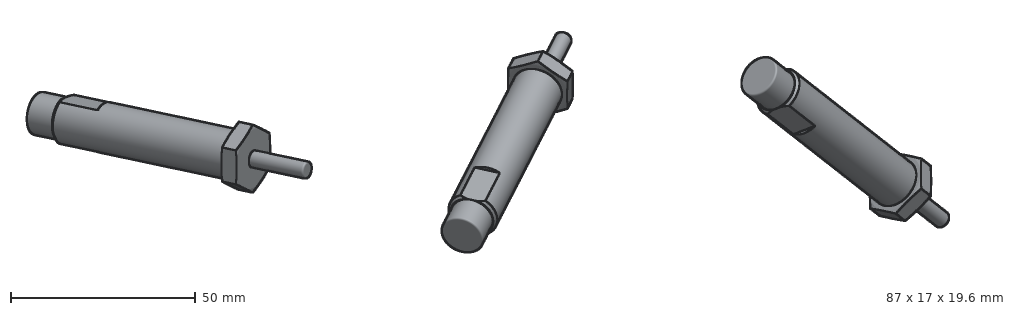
import cadquery as cq
import math

total_length = 87.0
body_start = 8.4
flats_end = 21.5
hex_start = 64.55
hex_thickness = 5.0
hex_end = hex_start + hex_thickness

tip_diameter = 12.0
body_diameter = 14.0
pin_diameter = 4.8
hex_across_flats = 17.0
hex_across_corners = hex_across_flats / math.cos(math.pi / 6)
flats_width = tip_diameter

tip_fillet = 0.5
body_chamfer = 0.9
pin_fillet = 0.5
hex_face_diameter = 16.9
hex_chamfer_depth = 0.3


def rod(start, end, diameter):
    """Cylinder along X between two stations."""
    return cq.Workplane("YZ").workplane(offset=start).circle(diameter / 2).extrude(end - start)


def flatted_body():
    """Main barrel with a chamfered front edge and two opposite wrench flats."""
    barrel = rod(body_start, hex_start, body_diameter).faces("<X").chamfer(body_chamfer)
    flat_length = flats_end - body_start
    flat_depth = (body_diameter - flats_width) / 2
    for side in (-1, 1):
        cutter = cq.Workplane("XY").box(flat_length, body_diameter, flat_depth).translate(
            (body_start + flat_length / 2, 0, side * (flats_width + flat_depth) / 2)
        )
        barrel = barrel.cut(cutter)
    return barrel


def hex_head():
    """Hexagon with corners on the Z axis, its corners bevelled on both faces."""
    hexagon = (
        cq.Workplane("YZ")
        .workplane(offset=hex_start)
        .transformed(rotate=(0, 0, 90))
        .polygon(6, hex_across_corners)
        .extrude(hex_thickness)
    )
    face_radius = hex_face_diameter / 2
    corner_radius = hex_across_corners / 2
    bevel_envelope = (
        cq.Workplane("XY")
        .moveTo(hex_start, 0)
        .lineTo(hex_start, face_radius)
        .lineTo(hex_start + hex_chamfer_depth, corner_radius)
        .lineTo(hex_end - hex_chamfer_depth, corner_radius)
        .lineTo(hex_end, face_radius)
        .lineTo(hex_end, 0)
        .close()
        .revolve(360, (0, 0, 0), (1, 0, 0))
    )
    return hexagon.intersect(bevel_envelope)


tip = rod(0, body_start, tip_diameter).faces("<X").edges().fillet(tip_fillet)
pin = rod(hex_end, total_length, pin_diameter).faces(">X").edges().fillet(pin_fillet)

result = tip.union(flatted_body()).union(hex_head()).union(pin)